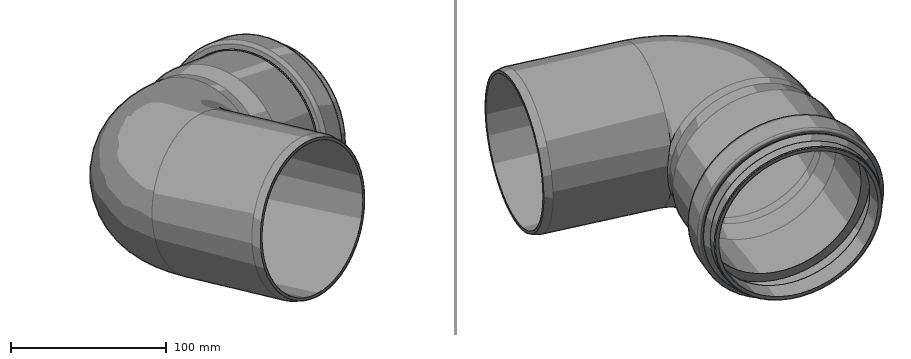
import cadquery as cq
import math

socket_radius = 117.1 / 2
socket_bore_radius = 111.0 / 2
mouth_chamfer = 0.6
lip_depth = 7.0
shoulder_radius = 123.5 / 2
shoulder_cone_end_depth = 10.6
ring_radius = 129.8 / 2
ring_top_depth = 11.5
ring_bottom_depth = 30.2
ring_top_round = 1.8
ring_bottom_round = 2.5
ring_root_chamfer = 0.6
seal_groove_radius = 123.5 / 2
seal_groove_top_depth = 13.3
seal_groove_bottom_depth = 27.5
taper_start_depth = 68.2
taper_end_depth = 81.2

pipe_radius = 110.2 / 2
bore_radius = 103.5 / 2
bend_start_depth = 88.4
bend_radius = 51.5
bend_angle = 87.5

spigot_length = 87.7
spigot_chamfer_length = 5.7
spigot_end_radius = 53.7


def revolve_about_y(points):
    """Revolve a closed (radius, y) outline around the socket axis."""
    return cq.Workplane("XY").polyline(points).close().revolve(360, (0, 0), (0, 1))


def bend(radius):
    """Sweep a disc around the bend pivot, trimmed where it would cross the pivot line."""
    half_chord = math.sqrt(max(radius**2 - bend_radius**2, 0))
    section = (
        cq.Workplane("XZ", origin=(0, -bend_start_depth, 0))
        .moveTo(bend_radius, half_chord)
        .threePointArc((-radius, 0), (bend_radius, -half_chord))
        .close()
    )
    return section.revolve(bend_angle, (bend_radius, -2), (bend_radius, 2))


def place_spigot(body):
    """Move a body from the socket axis to the outlet end of the bend."""
    pivot = (bend_radius, -bend_start_depth, 0)
    pivot_axis_end = (bend_radius, -bend_start_depth, 1)
    return body.rotate(pivot, pivot_axis_end, bend_angle)


def socket_tube():
    """Outer form of the socket without its seal ring."""
    return revolve_about_y([
        (0, 0),
        (socket_radius - mouth_chamfer, 0),
        (socket_radius, -mouth_chamfer),
        (socket_radius, -lip_depth),
        (shoulder_radius, -shoulder_cone_end_depth),
        (shoulder_radius, -ring_bottom_depth),
        (socket_radius + ring_root_chamfer, -ring_bottom_depth),
        (socket_radius, -ring_bottom_depth - ring_root_chamfer),
        (socket_radius, -taper_start_depth),
        (pipe_radius, -taper_end_depth),
        (pipe_radius, -bend_start_depth),
        (0, -bend_start_depth),
    ])


def seal_ring():
    """Solid disc with rounded rims that forms the bulge around the seal."""
    disc = revolve_about_y([
        (0, -ring_top_depth),
        (ring_radius, -ring_top_depth),
        (ring_radius, -ring_bottom_depth),
        (0, -ring_bottom_depth),
    ])
    disc = disc.faces(">Y").edges().fillet(ring_top_round)
    return disc.faces("<Y").edges().fillet(ring_bottom_round)


def socket_inside():
    return revolve_about_y([
        (0, 0),
        (socket_bore_radius, 0),
        (socket_bore_radius, -seal_groove_top_depth),
        (seal_groove_radius, -seal_groove_top_depth),
        (seal_groove_radius, -seal_groove_bottom_depth),
        (socket_bore_radius, -seal_groove_bottom_depth),
        (socket_bore_radius, -taper_start_depth),
        (bore_radius, -taper_end_depth),
        (bore_radius, -bend_start_depth),
        (0, -bend_start_depth),
    ])


def spigot_outside():
    end = -bend_start_depth - spigot_length
    return place_spigot(revolve_about_y([
        (0, -bend_start_depth),
        (pipe_radius, -bend_start_depth),
        (pipe_radius, end + spigot_chamfer_length),
        (spigot_end_radius, end),
        (0, end),
    ]))


def spigot_inside():
    end = -bend_start_depth - spigot_length
    return place_spigot(revolve_about_y([
        (0, -bend_start_depth),
        (bore_radius, -bend_start_depth),
        (bore_radius, end),
        (0, end),
    ]))


outside = (
    socket_tube()
    .union(seal_ring())
    .union(bend(pipe_radius))
    .union(spigot_outside())
)
result = (
    outside
    .cut(socket_inside())
    .cut(bend(bore_radius))
    .cut(spigot_inside())
)